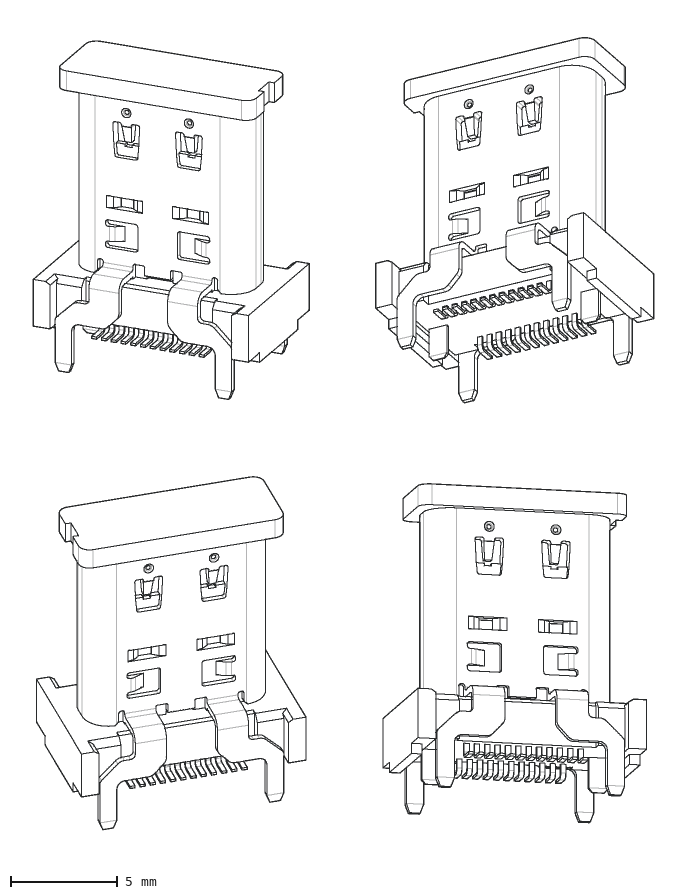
import cadquery as cq

TOTAL_HEIGHT = 14.7

CAP_LENGTH = 10.03
CAP_WIDTH = 4.0
CAP_THICKNESS = 1.0
CAP_CORNER = 0.55
CAP_NOTCH_DEPTH = 0.28
CAP_NOTCH_WIDTH = 1.18
CAP_BOTTOM = TOTAL_HEIGHT - CAP_THICKNESS

SHELL_LENGTH = 8.94
SHELL_WIDTH = 3.16
SHELL_CORNER = 1.28
SHELL_WALL = 0.28
SHELL_FACE = SHELL_WIDTH / 2

BASE_LENGTH = 11.01
BASE_WIDTH = 7.03
BASE_TOP = 4.55
BODY_BOTTOM = 2.41
BODY_WIDTH = 5.62
BODY_CHAMFER = 0.32
RECESS_LENGTH = 6.69
RECESS_BODY_WIDTH = 4.65
RECESS_CHAMFER_OUT = 0.16
RECESS_CHAMFER_DOWN = 0.1
END_WALL = 0.87
END_WALL_BOTTOM = 2.19
END_CHAMFER_IN = 0.24
END_CHAMFER_DOWN = 0.15
FOOT_LENGTH = 0.51
FOOT_WIDTH = 4.42
FOOT_BOTTOM = 1.7

STRAP_INNER = 1.25
STRAP_OUTER = 2.78
STRAP_TOP = 4.98
STRAP_THICKNESS = 0.32
STRAP_BEND = 0.53
STRAP_ROOT_RADIUS = 0.16
LEG_FACE = 3.23
LEG_INNER = 3.68
LEG_OUTER = 4.51
LEG_SHOULDER_TOP = 3.63
LEG_SHOULDER_LOW = 2.66
LEG_SHOULDER_INNER = 3.5
LEG_SHOULDER_ELBOW = 0.47
LEG_SHOULDER_ROUND = 0.26
LEG_WEB_BOTTOM = 2.51
LEG_WEB_OUTER = 3.28
LEG_WEB_CORNER = 1.94
LEG_WEB_CORNER_TOP = 3.23
LEG_WEB_ROUND = 0.44
LEG_WEB_RADIUS = 0.24
LEG_TIP_HEIGHT = 0.43
LEG_TIP_LENGTH = 0.51
LEG_TIP_THICKNESS = 0.25

PIN_INNER = 3.55
PIN_OUTER = 4.48
PIN_THICKNESS = 0.18
PIN_TAPER_TOP = 0.95
PIN_BOTTOM = 0.75
PIN_TIP_LENGTH = 0.59
PIN_TIP_THICKNESS = 0.06

CONTACT_COUNT = 12
CONTACT_PITCH = 0.5
CONTACT_WIDTH = 0.25
CONTACT_THICKNESS = 0.12
CONTACT_REACH = 2.72
CONTACT_STEM_FACE = 1.81
CONTACT_BEND = 0.16

RELIEF_TOP = 5.3
RELIEF_INNER = 0.66
RELIEF_OUTER = 3.07
RELIEF_INNER_RADIUS = 0.09
RELIEF_OUTER_RADIUS = 0.13
RELIEF_FLARE = 0.18
SEAM_TOP = 4.8
SEAM_STEP_TOP = 4.7
SEAM_STEP_DEPTH = 0.44

LATCH_X = 1.6
LATCH_TOP = 12.36
LATCH_BOTTOM = 10.58
LATCH_HALF_TOP = 0.69
LATCH_HALF_LEDGE = 0.63
LATCH_HALF_BOTTOM = 0.57
LATCH_LEDGE = 11.19
LATCH_DEPTH = 0.55
LATCH_RADIUS = 0.12
LATCH_NOTCH_WIDTH = 0.35
LATCH_NOTCH_DEPTH = 0.12
FINGER_ROOT = 12.19
FINGER_END = 11.33
FINGER_HALF_ROOT = 0.25
FINGER_HALF_END = 0.18
FINGER_ROOT_DEPTH = 0.06
FINGER_END_DEPTH = 0.24
DIMPLE_Z = 12.89
DIMPLE_RADIUS = 0.24
DIMPLE_FLOOR_RADIUS = 0.1
DIMPLE_STEP = 0.06
DIMPLE_DEPTH = 0.09

TROUGH_X = 1.69
TROUGH_BOTTOM = 7.95
TROUGH_HEIGHT = 0.6
TROUGH_HALF = 0.93
TROUGH_HALF_KNEE = 0.62
TROUGH_HALF_FLOOR = 0.32
TROUGH_KNEE_DEPTH = 0.1
TROUGH_LIP_RADIUS = 0.5
TROUGH_DEPTH = 0.32
TROUGH_BOX_HEIGHT = 0.51
TROUGH_BOX_DEPTH = 0.38

TONGUE_WINDOW_INNER = 1.01
TONGUE_WINDOW_OUTER = 2.66
TONGUE_WINDOW_BOTTOM = 5.94
TONGUE_WINDOW_HEIGHT = 1.4
TONGUE_WIDTH = 0.75
TONGUE_TIP = 1.78
TONGUE_BEND_END = 2.22
TONGUE_ROOT = 2.47
TONGUE_BEND_DEPTH = 0.07
TONGUE_WINDOW_RADIUS = 0.13


def block(x_size, y_size, bottom, top, x_center=0.0):
    """Box centred on Y = 0 between two heights."""
    box = cq.Workplane("XY").box(x_size, y_size, top - bottom, centered=(True, True, False))
    return box.translate((x_center, 0, bottom))


def front_plane(y):
    """XZ sketch plane at the given Y, extruding toward -Y."""
    return cq.Workplane("XZ", origin=(0, y, 0))


def face_pocket(x_min, x_max, bottom, top, depth):
    """Rectangular cutter sunk into the -Y face of the shell."""
    sketch = front_plane(depth - SHELL_FACE).center((x_min + x_max) / 2, (bottom + top) / 2)
    return sketch.rect(x_max - x_min, top - bottom).extrude(depth)


def mirror_x(body):
    return body.union(body.mirror("YZ"))


def four_ways(body):
    """Repeat a body built at +X, -Y in all four quadrants."""
    half = mirror_x(body)
    return half.union(half.mirror("XZ"))


def tapered_tip(x_center, y_center, top, bottom, top_size, bottom_size):
    sketch = cq.Workplane("XY", origin=(x_center, y_center, bottom)).rect(*bottom_size)
    return sketch.workplane(offset=top - bottom).rect(*top_size).loft()


def cap():
    body = block(CAP_LENGTH, CAP_WIDTH, CAP_BOTTOM, TOTAL_HEIGHT).edges("|Z").fillet(CAP_CORNER)
    notch_x = (CAP_LENGTH - CAP_NOTCH_DEPTH) / 2
    return body.cut(block(CAP_NOTCH_DEPTH, CAP_NOTCH_WIDTH, CAP_BOTTOM, TOTAL_HEIGHT, notch_x))


def shell():
    return block(SHELL_LENGTH, SHELL_WIDTH, BODY_BOTTOM, CAP_BOTTOM).edges("|Z").fillet(SHELL_CORNER)


def base():
    body = block(BASE_LENGTH, BODY_WIDTH, BODY_BOTTOM, BASE_TOP)
    body = body.edges(">Z and |X").chamfer(BODY_CHAMFER)
    body = body.cut(block(RECESS_LENGTH, BODY_WIDTH, BODY_BOTTOM, BASE_TOP))
    middle = block(RECESS_LENGTH, RECESS_BODY_WIDTH, BODY_BOTTOM, BASE_TOP)
    for side in (">Y", "<Y"):
        middle = middle.faces(side).edges(">Z").chamfer(RECESS_CHAMFER_DOWN, RECESS_CHAMFER_OUT)
    body = body.union(middle)

    outer = BASE_LENGTH / 2
    inner = outer - END_WALL
    wall = (
        front_plane(BASE_WIDTH / 2)
        .moveTo(outer, END_WALL_BOTTOM)
        .lineTo(outer, BASE_TOP)
        .lineTo(inner + END_CHAMFER_IN, BASE_TOP)
        .lineTo(inner, BASE_TOP - END_CHAMFER_DOWN)
        .lineTo(inner, END_WALL_BOTTOM)
        .close()
        .extrude(BASE_WIDTH)
    )
    foot = block(FOOT_LENGTH, FOOT_WIDTH, FOOT_BOTTOM, END_WALL_BOTTOM, outer - FOOT_LENGTH / 2)
    ends = mirror_x(wall.union(foot))
    return body.union(ends)


def strap():
    """Strap leaving the shell wall and bending down into the leg plane."""
    bend_y = -(LEG_FACE - STRAP_BEND)
    bend_z = STRAP_TOP - STRAP_BEND
    inner_bend = STRAP_BEND - STRAP_THICKNESS
    root_y = -(SHELL_FACE - SHELL_WALL)
    return (
        cq.Workplane("YZ", origin=(STRAP_INNER, 0, 0))
        .moveTo(root_y, STRAP_TOP + STRAP_ROOT_RADIUS)
        .lineTo(-SHELL_FACE, STRAP_TOP + STRAP_ROOT_RADIUS)
        .radiusArc((-SHELL_FACE - STRAP_ROOT_RADIUS, STRAP_TOP), STRAP_ROOT_RADIUS)
        .lineTo(bend_y, STRAP_TOP)
        .radiusArc((-LEG_FACE, bend_z), -STRAP_BEND)
        .lineTo(STRAP_THICKNESS - LEG_FACE, bend_z)
        .radiusArc((bend_y, bend_z + inner_bend), inner_bend)
        .lineTo(root_y, STRAP_TOP - STRAP_THICKNESS)
        .close()
        .extrude(STRAP_OUTER - STRAP_INNER)
    )


def leg():
    """Flat plate below the strap bend with its tapered solder leg."""
    leg_corner = LEG_INNER - LEG_WEB_OUTER
    plate = (
        front_plane(STRAP_THICKNESS - LEG_FACE)
        .moveTo(STRAP_INNER, STRAP_TOP - STRAP_BEND)
        .lineTo(STRAP_INNER, LEG_WEB_CORNER_TOP)
        .lineTo(LEG_WEB_CORNER, LEG_WEB_BOTTOM)
        .lineTo(LEG_WEB_OUTER, LEG_WEB_BOTTOM)
        .radiusArc((LEG_INNER, LEG_WEB_BOTTOM - leg_corner), leg_corner)
        .lineTo(LEG_INNER, LEG_TIP_HEIGHT)
        .lineTo(LEG_OUTER, LEG_TIP_HEIGHT)
        .lineTo(LEG_OUTER, LEG_SHOULDER_LOW)
        .lineTo(LEG_SHOULDER_INNER, LEG_SHOULDER_TOP)
        .lineTo(STRAP_OUTER + LEG_WEB_RADIUS, LEG_SHOULDER_TOP)
        .radiusArc((STRAP_OUTER, LEG_SHOULDER_TOP + LEG_WEB_RADIUS), LEG_WEB_RADIUS)
        .lineTo(STRAP_OUTER, STRAP_TOP - STRAP_BEND)
        .close()
        .extrude(STRAP_THICKNESS)
    )
    rounded_corners = (
        (STRAP_INNER, LEG_WEB_CORNER_TOP, LEG_WEB_ROUND),
        (LEG_WEB_CORNER, LEG_WEB_BOTTOM, LEG_WEB_ROUND),
        (LEG_SHOULDER_INNER, LEG_SHOULDER_TOP, LEG_SHOULDER_ELBOW),
        (LEG_OUTER, LEG_SHOULDER_LOW, LEG_SHOULDER_ROUND),
    )
    for x, z, radius in rounded_corners:
        corner = cq.selectors.NearestToPointSelector((x, STRAP_THICKNESS / 2 - LEG_FACE, z))
        plate = plate.edges("|Y").edges(corner).fillet(radius)
    tip = tapered_tip(
        (LEG_INNER + LEG_OUTER) / 2,
        STRAP_THICKNESS / 2 - LEG_FACE,
        LEG_TIP_HEIGHT,
        0,
        (LEG_OUTER - LEG_INNER, STRAP_THICKNESS),
        (LEG_TIP_LENGTH, LEG_TIP_THICKNESS),
    )
    return plate.union(tip)


def ground_pin():
    length = PIN_OUTER - PIN_INNER
    center = (PIN_OUTER + PIN_INNER) / 2
    stem = block(length, PIN_THICKNESS, PIN_TAPER_TOP, BODY_BOTTOM, center)
    tip = tapered_tip(
        center,
        0,
        PIN_TAPER_TOP,
        PIN_BOTTOM,
        (length, PIN_THICKNESS),
        (PIN_TIP_LENGTH, PIN_TIP_THICKNESS),
    )
    return stem.union(tip)


def contacts():
    """One row of L-shaped contacts whose feet point toward -Y."""
    stem_back = CONTACT_THICKNESS - CONTACT_STEM_FACE
    foot_top = FOOT_BOTTOM + CONTACT_THICKNESS
    outer_bend = CONTACT_BEND + CONTACT_THICKNESS
    contact = (
        cq.Workplane("YZ", origin=(-CONTACT_WIDTH / 2, 0, 0))
        .moveTo(-CONTACT_REACH, FOOT_BOTTOM)
        .lineTo(-CONTACT_REACH, foot_top)
        .lineTo(-CONTACT_STEM_FACE - CONTACT_BEND, foot_top)
        .radiusArc((-CONTACT_STEM_FACE, foot_top + CONTACT_BEND), -CONTACT_BEND)
        .lineTo(-CONTACT_STEM_FACE, BODY_BOTTOM)
        .lineTo(stem_back, BODY_BOTTOM)
        .lineTo(stem_back, FOOT_BOTTOM + outer_bend)
        .radiusArc((stem_back - outer_bend, FOOT_BOTTOM), outer_bend)
        .close()
        .extrude(CONTACT_WIDTH)
    )
    row = cq.Workplane("XY")
    for index in range(CONTACT_COUNT):
        x = (index - (CONTACT_COUNT - 1) / 2) * CONTACT_PITCH
        row = row.add(contact.translate((x, 0, 0)))
    return row.combine()


def relief_cutter():
    """Slots beside the strap root and the stepped gap between the straps."""
    inner = face_pocket(RELIEF_INNER, STRAP_INNER, BASE_TOP, RELIEF_TOP, SHELL_WALL)
    inner = inner.edges("|Y and >Z").fillet(RELIEF_INNER_RADIUS)
    outer = (
        front_plane(SHELL_WALL - SHELL_FACE)
        .moveTo(STRAP_OUTER, BASE_TOP)
        .lineTo(STRAP_OUTER, RELIEF_TOP)
        .lineTo(RELIEF_OUTER, RELIEF_TOP)
        .lineTo(RELIEF_OUTER, BASE_TOP + RELIEF_FLARE)
        .lineTo(RELIEF_OUTER + RELIEF_FLARE, BASE_TOP)
        .close()
        .extrude(SHELL_WALL)
        .edges("|Y and >Z")
        .fillet(RELIEF_OUTER_RADIUS)
    )
    seam = face_pocket(0, RELIEF_INNER, BASE_TOP, SEAM_TOP, SHELL_WALL)
    step = face_pocket(0, RELIEF_INNER, BASE_TOP, SEAM_STEP_TOP, SEAM_STEP_DEPTH)
    return inner.union(outer).union(seam).union(step)


def latch_cutter():
    """Forked window with a ledge, leaving an inward-leaning finger."""
    half_outline = [
        (FINGER_HALF_END, FINGER_END),
        (FINGER_HALF_ROOT, FINGER_ROOT),
        (FINGER_HALF_ROOT, LATCH_TOP),
        (LATCH_HALF_TOP, LATCH_TOP),
        (LATCH_HALF_LEDGE, LATCH_LEDGE),
        (LATCH_HALF_BOTTOM, LATCH_BOTTOM),
    ]
    outline = half_outline + [(-x, z) for x, z in reversed(half_outline)]
    window = front_plane(LATCH_DEPTH - SHELL_FACE).polyline(outline).close().extrude(LATCH_DEPTH)
    window = window.edges("|Y and (>Z or <Z)").fillet(LATCH_RADIUS)
    ledge_depth = LATCH_DEPTH - SHELL_WALL
    ledge = (
        front_plane(LATCH_DEPTH - SHELL_FACE)
        .center(0, (LATCH_LEDGE + LATCH_BOTTOM) / 2)
        .rect(2 * LATCH_HALF_TOP, LATCH_LEDGE - LATCH_BOTTOM)
        .extrude(ledge_depth)
    )
    half_notch = LATCH_NOTCH_WIDTH / 2
    notch = face_pocket(
        -half_notch, half_notch, LATCH_LEDGE - LATCH_NOTCH_DEPTH, LATCH_LEDGE, LATCH_DEPTH
    )
    finger_front = (
        cq.Workplane("YZ", origin=(-FINGER_HALF_ROOT, 0, 0))
        .moveTo(-SHELL_FACE, FINGER_ROOT)
        .lineTo(FINGER_ROOT_DEPTH - SHELL_FACE, FINGER_ROOT)
        .lineTo(FINGER_END_DEPTH - SHELL_FACE, FINGER_END)
        .lineTo(-SHELL_FACE, FINGER_END)
        .close()
        .extrude(2 * FINGER_HALF_ROOT)
    )
    cutter = window.cut(ledge).union(notch).union(finger_front)
    return cutter.translate((LATCH_X, 0, 0))


def dimple_cutter():
    return (
        cq.Workplane("XY", origin=(LATCH_X, -SHELL_FACE, DIMPLE_Z))
        .polyline(
            [
                (0, 0),
                (DIMPLE_RADIUS, 0),
                (DIMPLE_FLOOR_RADIUS + DIMPLE_STEP, DIMPLE_STEP),
                (DIMPLE_FLOOR_RADIUS, DIMPLE_DEPTH),
                (0, DIMPLE_DEPTH),
            ]
        )
        .close()
        .revolve(360, (0, 0, 0), (0, 1, 0))
    )


def trough_cutter():
    trough = (
        cq.Workplane("XY", origin=(TROUGH_X, -SHELL_FACE, TROUGH_BOTTOM))
        .moveTo(-TROUGH_HALF_FLOOR, TROUGH_DEPTH)
        .lineTo(-TROUGH_HALF_KNEE, TROUGH_KNEE_DEPTH)
        .radiusArc((-TROUGH_HALF, 0), -TROUGH_LIP_RADIUS)
        .lineTo(TROUGH_HALF, 0)
        .radiusArc((TROUGH_HALF_KNEE, TROUGH_KNEE_DEPTH), -TROUGH_LIP_RADIUS)
        .lineTo(TROUGH_HALF_FLOOR, TROUGH_DEPTH)
        .close()
        .extrude(TROUGH_HEIGHT)
    )
    box = face_pocket(
        TROUGH_X - TROUGH_HALF_FLOOR,
        TROUGH_X + TROUGH_HALF_FLOOR,
        TROUGH_BOTTOM,
        TROUGH_BOTTOM + TROUGH_BOX_HEIGHT,
        TROUGH_BOX_DEPTH,
    )
    return trough.union(box)


def tongue_cutter():
    """C-shaped window plus the sloped pocket in front of its tongue."""
    top = TONGUE_WINDOW_BOTTOM + TONGUE_WINDOW_HEIGHT
    tongue_bottom = TONGUE_WINDOW_BOTTOM + (TONGUE_WINDOW_HEIGHT - TONGUE_WIDTH) / 2
    tongue_top = tongue_bottom + TONGUE_WIDTH
    frame = face_pocket(TONGUE_WINDOW_INNER, TONGUE_WINDOW_OUTER, TONGUE_WINDOW_BOTTOM, top, SHELL_WALL)
    tongue = face_pocket(TONGUE_TIP, TONGUE_WINDOW_OUTER, tongue_bottom, tongue_top, SHELL_WALL)
    frame = frame.cut(tongue).edges("|Y and (>X or <X)").fillet(TONGUE_WINDOW_RADIUS)
    slope = (
        cq.Workplane("XY", origin=(0, -SHELL_FACE, tongue_bottom))
        .moveTo(TONGUE_TIP, 0)
        .lineTo(TONGUE_TIP, SHELL_WALL)
        .lineTo(TONGUE_BEND_END, TONGUE_BEND_DEPTH)
        .tangentArcPoint((TONGUE_ROOT, 0), relative=False)
        .close()
        .extrude(TONGUE_WIDTH)
    )
    return frame.union(slope)


shell_openings = relief_cutter()
for cutter in (latch_cutter(), dimple_cutter(), trough_cutter(), tongue_cutter()):
    shell_openings = shell_openings.union(cutter)

contact_row = contacts()

result = (
    shell()
    .cut(four_ways(shell_openings))
    .union(base())
    .union(cap())
    .union(four_ways(strap().union(leg())))
    .union(mirror_x(ground_pin()))
    .union(contact_row)
    .union(contact_row.mirror("XZ"))
)